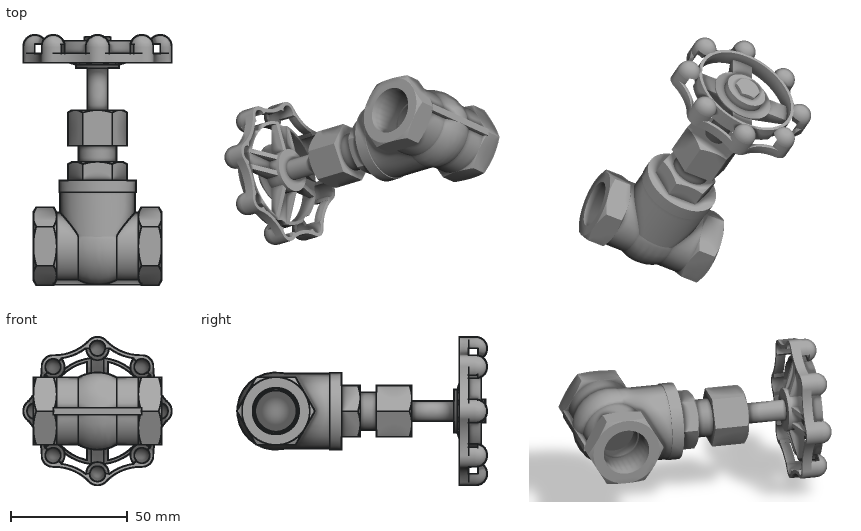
import cadquery as cq
import math


BODY_LENGTH = 55.0
END_HEX_FLATS = 29.0
END_HEX_THICKNESS = 10.0
PIPE_RADIUS = END_HEX_FLATS / 2
BULGE_RADIUS = 16.6
BULGE_HALF_LENGTH = 8.15
RIB_WIDTH = 3.0
RIB_LENGTH = 37.8
RIB_BOTTOM_Y = -16.6
NECK_RADIUS = 16.1
NECK_TOP_Y = 23.0
BORE_MOUTH_RADIUS = 10.0
BORE_INNER_RADIUS = 9.5
BORE_DEPTH = 16.0
SEAT_RADIUS = 8.8
GATE_THICKNESS = 10.0

FLANGE_RADIUS = 16.5
FLANGE_TOP_Y = 28.2
NUT_FLATS = 22.0
BONNET_NUT_TOP_Y = 36.1
BONNET_NECK_RADIUS = 8.15
GLAND_NUT_BOTTOM_Y = 43.0
GLAND_NUT_TOP_Y = 58.2
STEM_RADIUS = 4.4
NUT_CHAMFER_ANGLE = 30.0

KNOB_COUNT = 8
KNOB_RADIUS = 5.0
KNOB_HOLE_RADIUS = 3.4
KNOB_CIRCLE_RADIUS = 26.8
WHEEL_BASE_Y = 78.5
KNOB_TOP_Y = 90.5
KNOB_DOME_Y = KNOB_TOP_Y - KNOB_RADIUS
KNOB_NOTCH_HEIGHT = 8.0
RIM_HEIGHT = 4.0
RIM_WAIST_RADIUS = 27.6
RING_OUTER_RADIUS = 22.9
RING_INNER_RADIUS = 21.5
RING_TOP_Y = 88.0
HUB_RADIUS = 9.0
HUB_DISC_RADIUS = 9.3
HUB_DISC_BOTTOM_Y = 76.2
HUB_DISC_TOP_Y = 77.6
HUB_PLATE_RADIUS = 13.3
HUB_PLATE_THICKNESS = 0.5
SPOKE_COUNT = 4
SPOKE_WIDTH = 9.2
SPOKE_TOP_Y = 84.0
SPOKE_CONE_ANGLE = 17.0
SPOKE_GROOVE_WIDTH = 5.2
SPOKE_GROOVE_FLOOR_Y = 81.8
STEM_NUT_FLATS = 10.0
STEM_NUT_TOP_Y = 89.75


def cylinder_y(radius, y_start, y_end):
    """Cylinder on the Y axis."""
    return cq.Workplane("XZ", origin=(0, y_start, 0)).circle(radius).extrude(y_start - y_end)


def cylinder_x(radius, x_start, x_end):
    """Cylinder on the X axis."""
    return cq.Workplane("YZ", origin=(x_start, 0, 0)).circle(radius).extrude(x_end - x_start)


def hex_nut(flats, height, chamfer_start, chamfer_end):
    """Hexagon along +Z from the origin, corners on X, with corner chamfers on the chosen ends."""
    corner_radius = flats / math.sqrt(3)
    flat_radius = flats / 2
    drop = (corner_radius - flat_radius) * math.tan(math.radians(NUT_CHAMFER_ANGLE))
    nut = cq.Workplane("XY").polygon(6, 2 * corner_radius).extrude(height)
    envelope = cq.Workplane("XZ").moveTo(0, 0)
    if chamfer_start:
        envelope = envelope.lineTo(flat_radius, 0).lineTo(corner_radius, drop)
    else:
        envelope = envelope.lineTo(corner_radius, 0)
    if chamfer_end:
        envelope = envelope.lineTo(corner_radius, height - drop).lineTo(flat_radius, height)
    else:
        envelope = envelope.lineTo(corner_radius, height)
    envelope = envelope.lineTo(0, height).close().revolve(360, (0, 0, 0), (0, 1, 0))
    return nut.intersect(envelope)


def nut_y(flats, y_start, y_end):
    """Hexagon on the Y axis, corners toward +X and -X, chamfered on its +Y end."""
    nut = hex_nut(flats, y_end - y_start, False, True)
    return nut.rotate((0, 0, 0), (1, 0, 0), -90).translate((0, y_start, 0))


def end_hex(x_start):
    """Hexagon on the X axis, corners toward +Y and -Y, chamfered on both ends."""
    nut = hex_nut(END_HEX_FLATS, END_HEX_THICKNESS, True, True)
    nut = nut.rotate((0, 0, 0), (0, 0, 1), 90).rotate((0, 0, 0), (0, 1, 0), 90)
    return nut.translate((x_start, 0, 0))


def make_bulge():
    """Barrel-shaped swelling round the middle of the pipe."""
    section = cq.Workplane("XY").moveTo(-BULGE_HALF_LENGTH, 0).lineTo(-BULGE_HALF_LENGTH, PIPE_RADIUS)
    section = section.threePointArc((0, BULGE_RADIUS), (BULGE_HALF_LENGTH, PIPE_RADIUS))
    section = section.lineTo(BULGE_HALF_LENGTH, 0).close()
    return section.revolve(360, (0, 0, 0), (1, 0, 0))


def make_bore():
    """Tapered socket and straight seat entering the +X end, stopping at the closed gate."""
    mouth_x = BODY_LENGTH / 2
    step_x = mouth_x - BORE_DEPTH
    gate_x = GATE_THICKNESS / 2
    section = cq.Workplane("XY").polyline([
        (gate_x, 0),
        (gate_x, SEAT_RADIUS),
        (step_x, SEAT_RADIUS),
        (step_x, BORE_INNER_RADIUS),
        (mouth_x, BORE_MOUTH_RADIUS),
        (mouth_x, 0),
    ])
    return section.close().revolve(360, (0, 0, 0), (1, 0, 0))


def make_body():
    """Pipe run with a barrel bulge, hexagon ends, bottom rib and upright neck."""
    half_length = BODY_LENGTH / 2
    body = cylinder_x(PIPE_RADIUS, -half_length + END_HEX_THICKNESS / 2, half_length - END_HEX_THICKNESS / 2)
    body = body.union(make_bulge())
    body = body.union(cylinder_y(NECK_RADIUS, 0, NECK_TOP_Y))
    rib = cq.Workplane("XY").box(RIB_LENGTH, -RIB_BOTTOM_Y, RIB_WIDTH)
    body = body.union(rib.translate((0, RIB_BOTTOM_Y / 2, 0)))
    body = body.union(end_hex(-half_length)).union(end_hex(half_length - END_HEX_THICKNESS))
    bore = make_bore()
    return body.cut(bore).cut(bore.mirror("YZ"))


def make_bonnet():
    """Flange, bonnet nut, threaded neck, gland nut and stem."""
    bonnet = cylinder_y(FLANGE_RADIUS, NECK_TOP_Y, FLANGE_TOP_Y)
    bonnet = bonnet.union(nut_y(NUT_FLATS, FLANGE_TOP_Y, BONNET_NUT_TOP_Y))
    bonnet = bonnet.union(cylinder_y(BONNET_NECK_RADIUS, BONNET_NUT_TOP_Y, GLAND_NUT_BOTTOM_Y))
    bonnet = bonnet.union(nut_y(NUT_FLATS, GLAND_NUT_BOTTOM_Y, GLAND_NUT_TOP_Y))
    return bonnet.union(cylinder_y(STEM_RADIUS, GLAND_NUT_TOP_Y, RING_TOP_Y))


def polar(radius, angle):
    """Point at the given radius and angle (degrees)."""
    return (radius * math.cos(math.radians(angle)), radius * math.sin(math.radians(angle)))


def scalloped_disc(inset):
    """Rim outline shrunk by `inset`: convex arcs round the knobs joined by tangent concave arcs."""
    pitch = 360 / KNOB_COUNT
    along, across = polar(KNOB_CIRCLE_RADIUS, pitch / 2)
    gap = RIM_WAIST_RADIUS - along
    scallop_radius = (gap**2 + across**2 - KNOB_RADIUS**2) / (2 * (KNOB_RADIUS - gap))
    scallop_centre_radius = RIM_WAIST_RADIUS + scallop_radius
    tangent_fraction = (KNOB_RADIUS - inset) / (KNOB_RADIUS + scallop_radius)
    tangent_along = along + tangent_fraction * (scallop_centre_radius - along)
    tangent_across = across * (1 - tangent_fraction)
    tangent_radius = math.hypot(tangent_along, tangent_across)
    tangent_angle = pitch / 2 - math.degrees(math.atan2(tangent_across, tangent_along))

    outline = cq.Workplane("XZ", origin=(0, WHEEL_BASE_Y, 0)).moveTo(*polar(tangent_radius, -tangent_angle))
    for index in range(KNOB_COUNT):
        knob_angle = index * pitch
        outline = outline.threePointArc(
            polar(KNOB_CIRCLE_RADIUS + KNOB_RADIUS - inset, knob_angle),
            polar(tangent_radius, knob_angle + tangent_angle),
        )
        outline = outline.threePointArc(
            polar(RIM_WAIST_RADIUS - inset, knob_angle + pitch / 2),
            polar(tangent_radius, knob_angle + pitch - tangent_angle),
        )
    return outline.close().extrude(-RIM_HEIGHT)


def round_peg(radius):
    """Dome-ended cylinder on the Y axis, standing on the wheel base."""
    dome_top_y = KNOB_DOME_Y + radius
    shoulder = polar(radius, 45)
    section = cq.Workplane("XY").moveTo(0, WHEEL_BASE_Y).lineTo(radius, WHEEL_BASE_Y).lineTo(radius, KNOB_DOME_Y)
    section = section.threePointArc((shoulder[0], KNOB_DOME_Y + shoulder[1]), (0, dome_top_y)).close()
    return section.revolve(360, (0, 0, 0), (0, 1, 0))


def at_knobs(shape):
    """Copies of a shape, made on the Y axis, moved to every knob position."""
    first = shape.translate((KNOB_CIRCLE_RADIUS, 0, 0))
    return [first.rotate((0, 0, 0), (0, 1, 0), index * 360 / KNOB_COUNT) for index in range(KNOB_COUNT)]


def knob_notch():
    """Half cylinder on the hub side of a knob, removed below the dome."""
    notch = cylinder_y(KNOB_RADIUS, WHEEL_BASE_Y, WHEEL_BASE_Y + KNOB_NOTCH_HEIGHT)
    hub_side = cq.Workplane("XY").box(2 * KNOB_RADIUS, 2 * KNOB_TOP_Y, 2 * KNOB_RADIUS)
    return notch.intersect(hub_side.translate((-KNOB_RADIUS, KNOB_TOP_Y, 0)))


def spoke_bars(width, reach, y_start, y_end):
    """Bars from the Y axis out to the radius `reach`, one per spoke."""
    bar = cq.Workplane("XY").box(2 * reach, y_end - y_start, width).translate((0, (y_start + y_end) / 2, 0))
    bars = bar
    for index in range(1, SPOKE_COUNT // 2):
        bars = bars.union(bar.rotate((0, 0, 0), (0, 1, 0), index * 360 / SPOKE_COUNT))
    return bars


def cone_below_spokes():
    """Region under the sloping lower face of the spokes and ring, open wider than the ring."""
    slope = math.tan(math.radians(SPOKE_CONE_ANGLE))
    apex_y = HUB_DISC_TOP_Y - HUB_DISC_RADIUS * slope
    edge_y = apex_y + KNOB_CIRCLE_RADIUS * slope
    section = [(0, 0), (KNOB_CIRCLE_RADIUS, 0), (KNOB_CIRCLE_RADIUS, edge_y), (0, apex_y)]
    return cq.Workplane("XY").polyline(section).close().revolve(360, (0, 0, 0), (0, 1, 0))


def make_wheel_centre():
    """Ring, grooved spokes, hub with its disc and plate, and the nut that holds the wheel on the stem."""
    ring = cylinder_y(RING_OUTER_RADIUS, WHEEL_BASE_Y, RING_TOP_Y)
    ring = ring.cut(cylinder_y(RING_INNER_RADIUS, WHEEL_BASE_Y, RING_TOP_Y))
    spoke_reach = (RING_INNER_RADIUS + RING_OUTER_RADIUS) / 2
    centre = ring.union(spoke_bars(SPOKE_WIDTH, spoke_reach, HUB_DISC_BOTTOM_Y, SPOKE_TOP_Y))
    centre = centre.cut(cone_below_spokes())
    centre = centre.cut(spoke_bars(SPOKE_GROOVE_WIDTH, KNOB_CIRCLE_RADIUS, 0, SPOKE_GROOVE_FLOOR_Y))
    hub = cylinder_y(HUB_RADIUS, HUB_DISC_BOTTOM_Y, RING_TOP_Y)
    hub = hub.union(cylinder_y(HUB_DISC_RADIUS, HUB_DISC_BOTTOM_Y, HUB_DISC_TOP_Y))
    hub = hub.union(cylinder_y(HUB_PLATE_RADIUS, SPOKE_TOP_Y, SPOKE_TOP_Y + HUB_PLATE_THICKNESS))
    hub = hub.union(nut_y(STEM_NUT_FLATS, RING_TOP_Y, STEM_NUT_TOP_Y))
    return centre.union(hub)


def make_wheel():
    """Hand wheel: scalloped rim band, hollow domed knobs notched on the hub side, and centre."""
    wall = KNOB_RADIUS - KNOB_HOLE_RADIUS
    wheel = make_wheel_centre().union(scalloped_disc(0).cut(scalloped_disc(wall)))
    for knob in at_knobs(round_peg(KNOB_RADIUS)):
        wheel = wheel.union(knob)
    for hollow in at_knobs(round_peg(KNOB_HOLE_RADIUS).union(knob_notch())):
        wheel = wheel.cut(hollow)
    return wheel


result = make_body().union(make_bonnet()).union(make_wheel())